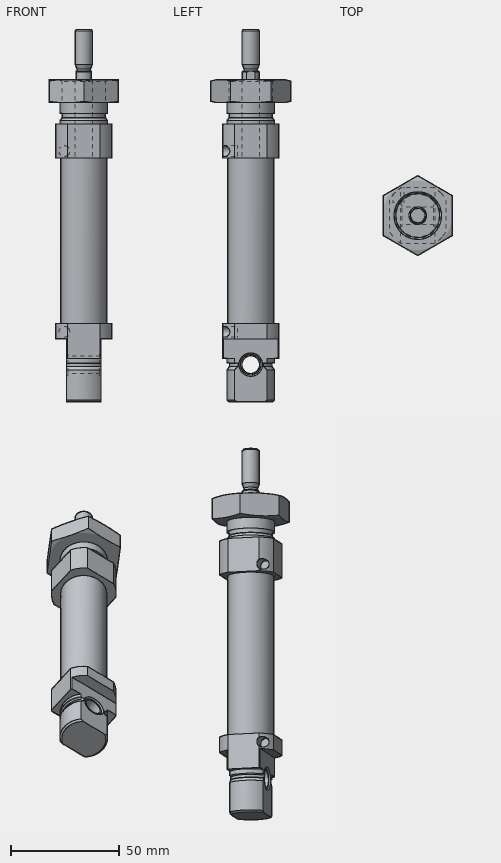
import cadquery as cq
import math

total_length = 172.0

block_rear_bottom = 20.1
block_rear_step = 29.0
block_rear_top = 36.3
block_front_bottom = 112.5
block_front_top = 128.3

barrel_diameter = 21.3
block_width = 26.0
block_corner_diameter = 30.0
thread_diameter = 22.0
thread_chamfer = 0.9
rear_tongue_width = 16.0

groove_fillet = 0.3
rear_groove_diameter = 19.8
rear_groove_top = 18.0
rear_groove_bottom = 16.3
rear_flare_bottom = 14.8
front_groove_diameter = 20.0
front_groove_top = 133.1
front_groove_bottom = 131.2
front_flare_bottom = 129.9

nut_width = 32.0
nut_top = 148.8
nut_bottom = 138.1
nut_chamfer_angle = 15.0

spigot_diameter = thread_diameter - 2 * thread_chamfer
body_top = nut_top - thread_chamfer

pivot_diameter = 8.0
pivot_height = 17.2
pivot_mouth_diameter = 10.8
pivot_recess_diameter = 9.5

screw_diameter = 5.0
screw_offset = 9.0
screw_depth = 6.9
screw_rear_height = 32.3
screw_front_height = 115.8

rod_diameter = 8.0
rod_bottom = block_front_bottom
rod_shoulder_top = 152.7
rod_shoulder_chamfer = 0.5
rod_flat_width = 7.0
rod_flat_bottom = 148.8
rod_neck_diameter = 6.4
rod_neck_top = 153.8
rod_thread_bottom = 155.8
rod_tip_chamfer = 0.7


def cylinder(diameter, bottom, top):
    return cq.Workplane("XY").workplane(offset=bottom).circle(diameter / 2).extrude(top - bottom)


def undercut_cylinder(bottom, top, flare_bottom, groove_bottom, groove_top, groove_diameter):
    """Thread-sized cylinder with one undercut, rounded where its floor meets the wall and the flare."""
    radius = thread_diameter / 2
    floor = groove_diameter / 2
    flare_angle = math.atan2(radius - floor, groove_bottom - flare_bottom)
    tangent = groove_fillet * math.tan(flare_angle / 2)
    flare_end = (floor + tangent * math.sin(flare_angle), groove_bottom - tangent * math.cos(flare_angle))
    profile = (
        cq.Workplane("XZ")
        .moveTo(0, bottom)
        .lineTo(radius, bottom)
        .lineTo(radius, flare_bottom)
        .lineTo(*flare_end)
        .radiusArc((floor, groove_bottom + tangent), -groove_fillet)
        .lineTo(floor, groove_top - groove_fillet)
        .radiusArc((floor + groove_fillet, groove_top), groove_fillet)
        .lineTo(radius, groove_top)
        .lineTo(radius, top)
        .lineTo(0, top)
        .close()
    )
    return profile.revolve(360, (0, 0), (0, 1))


def block(bottom, top):
    """Square block with its four corners rounded about the cylinder axis."""
    height = top - bottom
    square = cq.Workplane("XY").workplane(offset=bottom).rect(block_width, block_width).extrude(height)
    return square.intersect(cylinder(block_corner_diameter, bottom, top))


def tongue_limit():
    """Envelope that trims everything below the step of the rear block to the tongue width."""
    lower = cq.Workplane("XY").rect(rear_tongue_width, block_corner_diameter).extrude(block_rear_step)
    upper = cylinder(block_corner_diameter, block_rear_step, total_length)
    return lower.union(upper)


def pivot_hole():
    """Cross hole along X, with a tapered flat-bottomed recess on both faces of the tongue."""
    half_width = rear_tongue_width / 2
    radius = pivot_diameter / 2
    recess = pivot_recess_diameter / 2
    mouth = pivot_mouth_diameter / 2
    inner = half_width - (mouth - recess)
    points = [
        (-half_width, 0),
        (-half_width, mouth),
        (-inner, recess),
        (-inner, radius),
        (inner, radius),
        (inner, recess),
        (half_width, mouth),
        (half_width, 0),
    ]
    hole = cq.Workplane("XY").polyline(points).close().revolve(360, (0, 0), (1, 0))
    return hole.translate((0, 0, pivot_height))


def screw_hole(height):
    start = cq.Workplane("XZ", origin=(-screw_offset, block_width / 2, height))
    return start.circle(screw_diameter / 2).extrude(screw_depth)


def make_rod():
    radius = rod_diameter / 2
    neck_radius = rod_neck_diameter / 2
    profile = [
        (0, rod_bottom),
        (radius, rod_bottom),
        (radius, rod_shoulder_top - rod_shoulder_chamfer),
        (radius - rod_shoulder_chamfer, rod_shoulder_top),
        (neck_radius, rod_shoulder_top),
        (neck_radius, rod_neck_top),
        (radius, rod_thread_bottom),
        (radius, total_length - rod_tip_chamfer),
        (radius - rod_tip_chamfer, total_length),
        (0, total_length),
    ]
    rod = cq.Workplane("XZ").polyline(profile).close().revolve(360, (0, 0), (0, 1))
    core = cq.Workplane("XY").workplane(offset=rod_flat_bottom).rect(rod_flat_width, rod_diameter)
    ring = cylinder(rod_diameter, rod_flat_bottom, rod_shoulder_top)
    return rod.cut(ring.cut(core.extrude(rod_shoulder_top - rod_flat_bottom)))


def make_nut():
    corner_diameter = nut_width / math.cos(math.pi / 6)
    bottom = nut_bottom
    top = nut_top
    hexagon = cq.Workplane("XY").workplane(offset=bottom).polygon(6, corner_diameter).extrude(top - bottom)
    hexagon = hexagon.rotate((0, 0, 0), (0, 0, 1), 30)
    corner_radius = corner_diameter / 2
    face_radius = nut_width / 2
    drop = (corner_radius - face_radius) * math.tan(math.radians(nut_chamfer_angle))
    points = [
        (0, bottom),
        (face_radius, bottom),
        (corner_radius, bottom + drop),
        (corner_radius, top - drop),
        (face_radius, top),
        (0, top),
    ]
    turned = cq.Workplane("XZ").polyline(points).close().revolve(360, (0, 0), (0, 1))
    bored = hexagon.intersect(turned).cut(cylinder(spigot_diameter, bottom, top))
    return bored.faces(">Z").edges(cq.selectors.RadiusNthSelector(0)).chamfer(thread_chamfer)


def make_body():
    rear_collar = undercut_cylinder(
        0, block_rear_bottom, rear_flare_bottom, rear_groove_bottom, rear_groove_top, rear_groove_diameter
    ).faces("<Z").chamfer(thread_chamfer)
    front_collar = undercut_cylinder(
        block_front_top, nut_bottom, front_flare_bottom, front_groove_bottom, front_groove_top,
        front_groove_diameter,
    )
    spigot = cylinder(spigot_diameter, nut_bottom, body_top)
    body = cylinder(barrel_diameter, block_rear_top, block_front_bottom)
    body = body.union(block(block_rear_bottom, block_rear_top))
    body = body.union(block(block_front_bottom, block_front_top))
    body = body.union(rear_collar).union(front_collar).union(spigot)
    body = body.intersect(tongue_limit())
    body = body.cut(pivot_hole())
    for height in (screw_rear_height, screw_front_height):
        body = body.cut(screw_hole(height))
    return body.cut(cylinder(rod_diameter, rod_bottom, body_top))


body = make_body()
rod = make_rod()
nut = make_nut()
result = cq.Compound.makeCompound([body.val(), rod.val(), nut.val()])